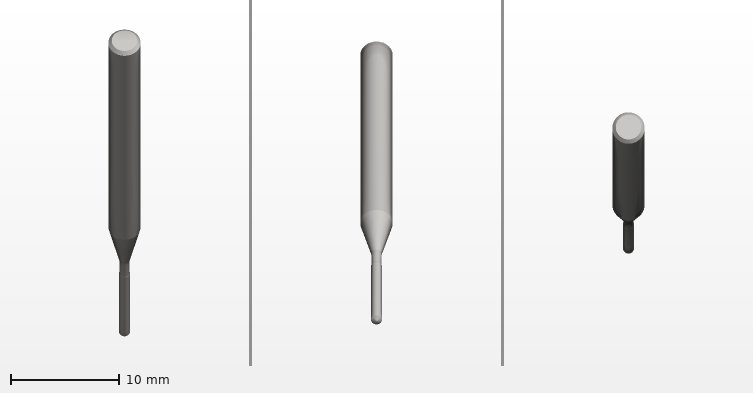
import cadquery as cq

total_length = 46.0
shank_diameter = 3.0
shank_chamfer = 0.3
neck_diameter = 0.95
neck_top = 11.6
taper_top = 16.8
cutter_diameter = 1.0
cutter_top = 9.6
shoulder_height = 0.15
point_height = 0.28

shank_radius = shank_diameter / 2
neck_radius = neck_diameter / 2
cutter_radius = cutter_diameter / 2


def revolve_profile(points):
    """Turn a closed (radius, height) outline about the Z axis."""
    return cq.Workplane("XZ").polyline(points).close().revolve(360, (0, 0), (0, 1))


def make_holder():
    """Chamfered shank, taper and short straight neck."""
    return revolve_profile([
        (0, cutter_top),
        (neck_radius, cutter_top),
        (neck_radius, neck_top),
        (shank_radius, taper_top),
        (shank_radius, total_length - shank_chamfer),
        (shank_radius - shank_chamfer, total_length),
        (0, total_length),
    ])


def make_cutter():
    """Slender round cutter with a conical point and a shoulder narrowing to the neck."""
    return revolve_profile([
        (0, 0),
        (cutter_radius, point_height),
        (cutter_radius, cutter_top - shoulder_height),
        (neck_radius, cutter_top),
        (0, cutter_top),
    ])


holder = make_holder()
cutter = make_cutter()

result = cq.Compound.makeCompound([holder.val(), cutter.val()])